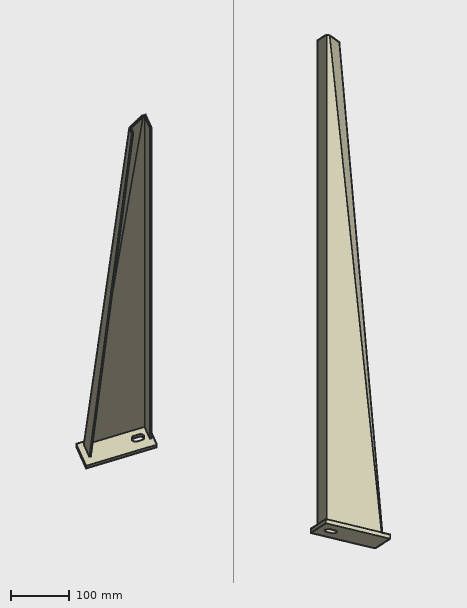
import cadquery as cq
import math

plate_width = 50.0
plate_depth = 130.0
plate_thickness = 8.0
slot_width = 13.0
slot_length = 22.0
slot_center_y = 39.5

total_height = 918.08
sheet = 3.0
post_width = 30.0
post_left_margin = 4.2
post_back_margin = 4.0
depth_bottom = 114.2
depth_top = 36.4
corner_run_bottom = 1.8
corner_run_top = 17.0
corner_slope = 1.77

left_x = -plate_width / 2 + post_left_margin
right_x = left_x + post_width
back_y = plate_depth / 2 - post_back_margin


def post_section(depth, corner_run):
    """Closed outline of the bent sheet: back flange, side web, slanted corner and front flange."""
    front_y = back_y - depth
    corner_rise = corner_run * corner_slope
    corner_angle = math.atan(corner_slope)
    web_bend = sheet * math.tan((math.pi / 2 - corner_angle) / 2)
    front_bend = sheet * math.tan(corner_angle / 2)
    return [
        (right_x, back_y),
        (left_x, back_y),
        (left_x, front_y + corner_rise),
        (left_x + corner_run, front_y),
        (right_x, front_y),
        (right_x, front_y + sheet),
        (left_x + corner_run + front_bend, front_y + sheet),
        (left_x + sheet, front_y + corner_rise + web_bend),
        (left_x + sheet, back_y - sheet),
        (right_x, back_y - sheet),
    ]


def make_base_plate():
    """Flat rectangular foot with a slotted hole under the post."""
    plate = cq.Workplane("XY").box(plate_width, plate_depth, plate_thickness, centered=(True, True, False))
    slot = (
        cq.Workplane("XY")
        .center(0, slot_center_y)
        .slot2D(slot_length, slot_width, 90)
        .extrude(plate_thickness)
    )
    return plate.cut(slot)


def make_post():
    """Post whose front flange leans back and whose slanted corner widens towards the top."""
    return (
        cq.Workplane("XY", origin=(0, 0, plate_thickness))
        .polyline(post_section(depth_bottom, corner_run_bottom))
        .close()
        .workplane(offset=total_height - plate_thickness)
        .polyline(post_section(depth_top, corner_run_top))
        .close()
        .loft(ruled=True)
    )


base_plate = make_base_plate()
post = make_post()

result = cq.Compound.makeCompound([base_plate.val(), post.val()])